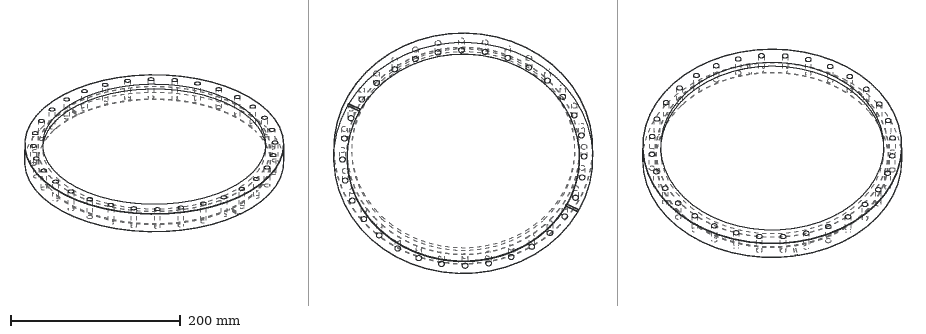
import cadquery as cq

ring_diameter = 305.0
ring_height = 25.0
top_chamfer = 0.5
window_diameter = 262.5
lip_height = 6.7
seat_diameter = 274.0

bolt_count = 32
bolt_circle_diameter = 284.3
bolt_hole_diameter = 6.7
bolt_pitch_angle = 360.0 / bolt_count

groove_width = 2.7
groove_depth = 1.2

plate_diameter = 273.0
lip_underside = ring_height - lip_height
plate_thickness = lip_underside - groove_depth


def make_ring():
    """Flange ring with a chamfered rim, a top lip, a wider seat below it, bolt holes and a groove."""
    disc = cq.Workplane("XY").circle(ring_diameter / 2).extrude(ring_height)
    disc = disc.faces(">Z").edges().chamfer(top_chamfer)

    window = cq.Workplane("XY").circle(window_diameter / 2).extrude(ring_height)
    ring = disc.cut(window)

    seat = cq.Workplane("XY").circle(seat_diameter / 2).extrude(lip_underside)
    ring = ring.cut(seat)

    bolt_holes = (
        cq.Workplane("XY")
        .polarArray(bolt_circle_diameter / 2, bolt_pitch_angle / 2, 360, bolt_count)
        .circle(bolt_hole_diameter / 2)
        .extrude(ring_height)
    )
    ring = ring.cut(bolt_holes)

    groove = cq.Workplane("XY").rect(ring_diameter, groove_width).extrude(groove_depth)
    return ring.cut(groove)


def make_plate():
    """Round closing plate whose top face touches the underside of the lip."""
    return (
        cq.Workplane("XY")
        .workplane(offset=groove_depth)
        .circle(plate_diameter / 2)
        .extrude(plate_thickness)
    )


ring = make_ring()
plate = make_plate()

result = cq.Compound.makeCompound([ring.solids().val(), plate.val()])